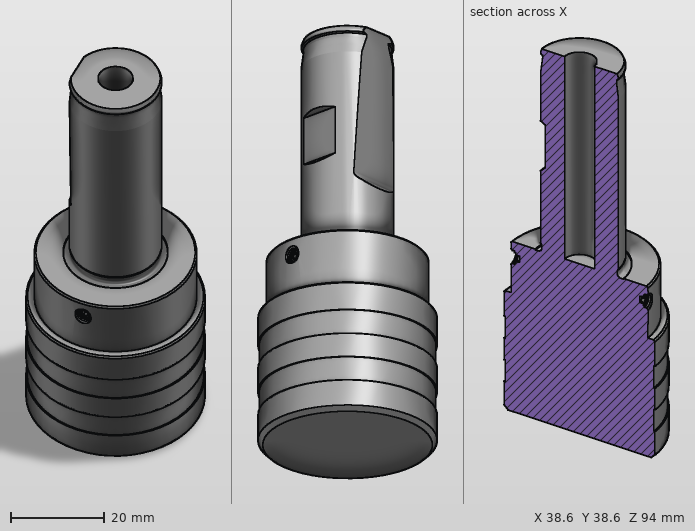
import cadquery as cq
import math

total_height = 94.0

collar_radius = 19.3
collar_top = 30.0
collar_bottom_chamfer = 1.0
collar_top_chamfer = 0.4
groove_depth = 0.3
grooves = [(7.0, 12.4), (17.9, 23.4)]

body_radius = 17.5
body_top = 43.0
body_chamfer = 0.4

undercut_radius = 11.3
undercut_depth = 0.2
undercut_wall_width = 0.1
neck_radius = 9.7
neck_fillet = 0.8
shank_start = 44.9
shank_start_chamfer = 0.6

shank_radius = 10.0
taper_start = 87.8
taper_end = 91.6
rim_neck_radius = 9.5
rim_height = 1.7
rim_peak_drop = 1.0
rim_round_half_height = 0.4
rim_side_radius = 9.9
top_face_radius = 9.6

bore_radius = 3.8
bore_depth = total_height - body_top

notch_angle = 2.0
notch_corner_height = 59.0
notch_corner_distance = 7.7
notch_ramp_angle = 45.0
notch_fillet = 1.7

flat_depth = 1.1
flat_bottom = 64.2
flat_top = 75.0
flat_lower_ramp_angle = 45.0
flat_upper_ramp_angle = 30.0

screw_height = 39.0
screw_mouth_radius = 2.0
screw_radius = 1.6
screw_recess = 0.6
screw_cup_radius = 1.2
screw_cup_depth = 0.3
socket_radius = 0.8
socket_depth = 0.9

cut_margin = 1.9


def tan_deg(angle):
    return math.tan(math.radians(angle))


def turned_blank():
    """Revolve the half profile of collar, body, undercut, shank and rim."""
    floor = body_top - undercut_depth
    rim_bottom = total_height - rim_height
    rim_peak = total_height - rim_peak_drop
    fillet_mid = neck_fillet * (1 - math.sqrt(0.5))

    profile = (
        cq.Workplane("XZ")
        .moveTo(0, 0)
        .lineTo(collar_radius - collar_bottom_chamfer, 0)
        .lineTo(collar_radius, collar_bottom_chamfer)
    )
    for groove_bottom, groove_top in grooves:
        profile = (
            profile.lineTo(collar_radius, groove_bottom)
            .lineTo(collar_radius - groove_depth, groove_bottom)
            .lineTo(collar_radius - groove_depth, groove_top)
            .lineTo(collar_radius, groove_top)
        )
    profile = (
        profile.lineTo(collar_radius, collar_top - collar_top_chamfer)
        .lineTo(collar_radius - collar_top_chamfer, collar_top)
        .lineTo(body_radius, collar_top)
        .lineTo(body_radius, body_top - body_chamfer)
        .lineTo(body_radius - body_chamfer, body_top)
        .lineTo(undercut_radius, body_top)
        .lineTo(undercut_radius - undercut_wall_width, floor)
        .lineTo(neck_radius + neck_fillet, floor)
        .threePointArc(
            (neck_radius + fillet_mid, floor + fillet_mid),
            (neck_radius, floor + neck_fillet),
        )
        .lineTo(neck_radius, shank_start - shank_start_chamfer)
        .lineTo(shank_radius, shank_start)
        .lineTo(shank_radius, taper_start)
        .lineTo(rim_neck_radius, taper_end)
        .lineTo(rim_neck_radius, rim_bottom)
        .lineTo(rim_side_radius, rim_peak - rim_round_half_height)
        .threePointArc(
            (shank_radius, rim_peak),
            (rim_side_radius, rim_peak + rim_round_half_height),
        )
        .lineTo(top_face_radius, total_height)
        .lineTo(0, total_height)
        .close()
    )
    return profile.revolve(360, (0, 0, 0), (0, 1, 0))


def axial_bore():
    return (
        cq.Workplane("XY", origin=(0, 0, total_height))
        .circle(bore_radius)
        .extrude(-bore_depth)
    )


def inclined_notch():
    """Flat leaning outward towards the top, closed below by a ramp."""
    corner = (-notch_corner_distance, 0, notch_corner_height)
    outer_x = -(shank_radius + cut_margin)
    notch_top = total_height + cut_margin
    lean = (notch_top - notch_corner_height) * tan_deg(notch_angle)
    ramp_drop = (-notch_corner_distance - outer_x) * tan_deg(notch_ramp_angle)
    return (
        cq.Workplane("XZ")
        .moveTo(-notch_corner_distance, notch_corner_height)
        .lineTo(-notch_corner_distance - lean, notch_top)
        .lineTo(outer_x, notch_top)
        .lineTo(outer_x, notch_corner_height - ramp_drop)
        .close()
        .extrude(shank_radius + cut_margin, both=True)
        .edges(cq.selectors.NearestToPointSelector(corner))
        .fillet(notch_fillet)
    )


def side_flat():
    """Flat across the shank with a ramp at each end."""
    flat_y = shank_radius - flat_depth
    outer_y = shank_radius + cut_margin
    run = outer_y - flat_y
    return (
        cq.Workplane("YZ")
        .moveTo(flat_y, flat_bottom)
        .lineTo(flat_y, flat_top)
        .lineTo(outer_y, flat_top + run * tan_deg(flat_upper_ramp_angle))
        .lineTo(outer_y, flat_bottom - run * tan_deg(flat_lower_ramp_angle))
        .close()
        .extrude(shank_radius + cut_margin, both=True)
    )


def screw_hole():
    """Countersunk stepped recess with a hexagon socket, entering from the -Y side."""
    countersink = screw_mouth_radius - screw_radius
    face_depth = countersink + screw_recess
    cup_floor = face_depth + screw_cup_depth
    mouth = cq.Workplane("XZ", origin=(0, -body_radius, screw_height))
    cone = mouth.circle(screw_mouth_radius).workplane(offset=-countersink).circle(screw_radius).loft()
    clearance = mouth.circle(screw_mouth_radius).extrude(cut_margin)
    recess = mouth.circle(screw_radius).extrude(-face_depth)
    cup = mouth.circle(screw_cup_radius).extrude(-cup_floor)
    socket = mouth.polygon(6, 2 * socket_radius).extrude(-(cup_floor + socket_depth))
    return cone.union(clearance).union(recess).union(cup).union(socket)


result = turned_blank().cut(axial_bore()).cut(inclined_notch()).cut(side_flat())
for turn in (0, 180):
    result = result.cut(screw_hole().rotate((0, 0, 0), (0, 0, 1), turn))